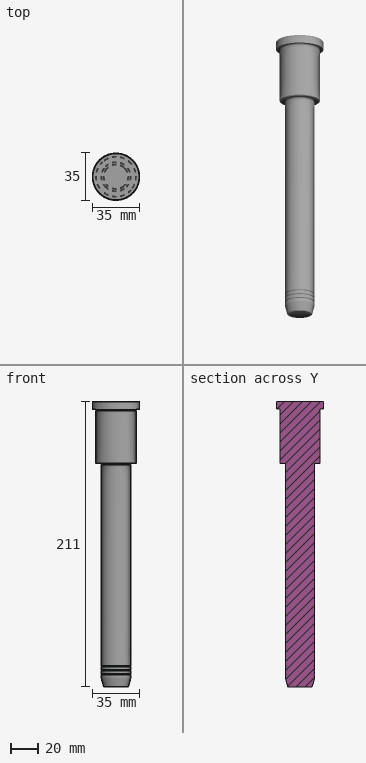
import cadquery as cq
import math

head_diameter = 35.0
head_height = 6.0
head_top_chamfer = 0.5

body_diameter = 30.0
body_length = 40.0
body_chamfer = 0.5

relief_width = 1.0
relief_depth = 0.3

shaft_diameter = 22.0
shaft_length = 165.0

lead_in_length = 7.0
lead_in_top_angle = 12.0
lead_in_tip_angle = 18.0
tip_chamfer = 0.5

groove_count = 3
groove_width = 1.0
groove_depth = 0.5
groove_pitch = 3.0
lowest_groove_center = 9.5

head_radius = head_diameter / 2
body_radius = body_diameter / 2
shaft_radius = shaft_diameter / 2
body_bottom = shaft_length
head_bottom = body_bottom + body_length
head_top = head_bottom + head_height


def draw_lead_in(outline):
    """Tip face, tip chamfer and the convex arc up to the straight shaft."""
    top_angle = math.radians(lead_in_top_angle)
    tip_angle = math.radians(lead_in_tip_angle)
    middle_angle = (top_angle + tip_angle) / 2
    arc_radius = (lead_in_length - tip_chamfer) / (math.sin(tip_angle) - math.sin(top_angle))

    def arc_point(angle):
        inset = arc_radius * (math.cos(top_angle) - math.cos(angle))
        drop = arc_radius * (math.sin(angle) - math.sin(top_angle))
        return shaft_radius - inset, lead_in_length - drop

    arc_start = arc_point(tip_angle)
    outline = outline.lineTo(arc_start[0] - tip_chamfer, 0).lineTo(*arc_start)
    return outline.threePointArc(arc_point(middle_angle), (shaft_radius, lead_in_length))


def draw_v_notch(outline, radius, bottom, width, depth):
    """V notch cut into a straight side, drawn upwards."""
    outline = outline.lineTo(radius, bottom)
    outline = outline.lineTo(radius - depth, bottom + width / 2)
    return outline.lineTo(radius, bottom + width)


def draw_grooves(outline):
    for index in range(groove_count):
        bottom = lowest_groove_center + index * groove_pitch - groove_width / 2
        outline = draw_v_notch(outline, shaft_radius, bottom, groove_width, groove_depth)
    return outline


def draw_relief(outline, radius, shoulder_height):
    return draw_v_notch(outline, radius, shoulder_height - relief_width, relief_width, relief_depth)


def draw_body(outline):
    outline = outline.lineTo(body_radius - body_chamfer, body_bottom)
    return outline.lineTo(body_radius, body_bottom + body_chamfer)


def draw_head(outline):
    outline = outline.lineTo(head_radius, head_bottom)
    outline = outline.lineTo(head_radius, head_top - head_top_chamfer)
    outline = outline.lineTo(head_radius - head_top_chamfer, head_top)
    return outline.lineTo(0, head_top)


half_section = draw_lead_in(cq.Workplane("XZ"))
half_section = draw_grooves(half_section)
half_section = draw_relief(half_section, shaft_radius, body_bottom)
half_section = draw_body(half_section)
half_section = draw_relief(half_section, body_radius, head_bottom)
half_section = draw_head(half_section)

result = half_section.close().revolve(360, (0, 0, 0), (0, 1, 0))